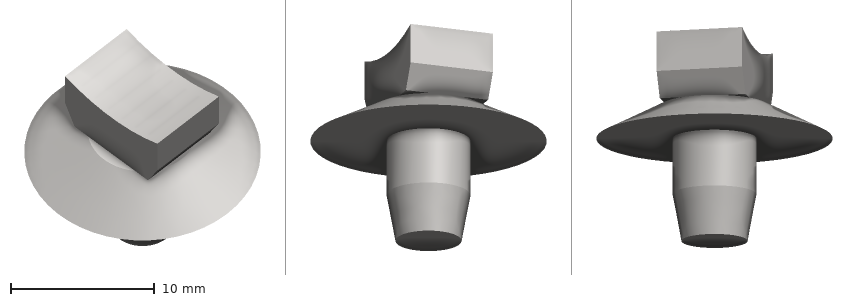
import cadquery as cq

flange_diameter = 16.44
flange_top_diameter = 7.63
flange_height = 2.28

shank_diameter = 5.83
shank_length = 3.96
tip_diameter = 4.6
tip_length = 3.32

head_length = 8.97
head_width = 6.12
head_height = 4.56
head_base_length = 7.13
undercut_height = 1.75
saddle_depth = 0.79
head_center_x = -0.05


def make_revolved_body():
    """Flange, shank and tip turned as one half profile about the Z axis."""
    tip_start = -shank_length
    tip_end = tip_start - tip_length
    return (
        cq.Workplane("XZ")
        .moveTo(0, tip_end)
        .lineTo(tip_diameter / 2, tip_end)
        .lineTo(shank_diameter / 2, tip_start)
        .lineTo(shank_diameter / 2, 0)
        .lineTo(flange_diameter / 2, 0)
        .lineTo(flange_top_diameter / 2, flange_height)
        .lineTo(0, flange_height)
        .close()
        .revolve(360, (0, 0, 0), (0, 1, 0))
    )


def make_head():
    """Saddle block: its XZ outline extruded evenly to both sides of Y = 0."""
    head_top = flange_height + head_height
    undercut_top = flange_height + undercut_height
    half_length = head_length / 2
    half_base = head_base_length / 2
    return (
        cq.Workplane("XZ")
        .center(head_center_x, 0)
        .moveTo(-half_base, flange_height)
        .lineTo(half_base, flange_height)
        .lineTo(half_length, undercut_top)
        .lineTo(half_length, head_top)
        .threePointArc((0, head_top - saddle_depth), (-half_length, head_top))
        .lineTo(-half_length, undercut_top)
        .close()
        .extrude(head_width / 2, both=True)
    )


result = make_revolved_body().union(make_head())